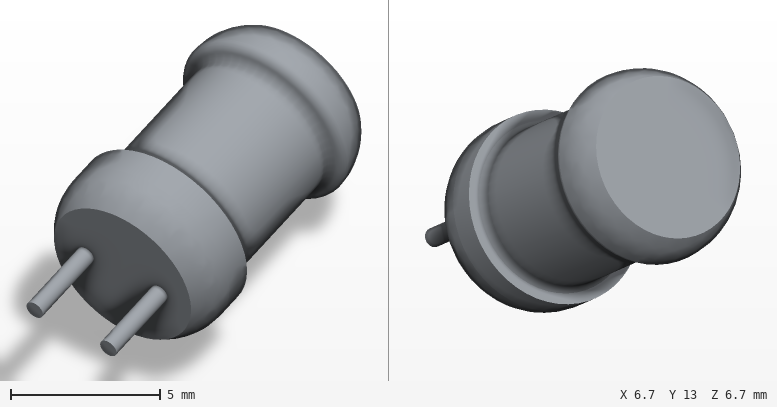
import cadquery as cq
import math

total_length = 13.01
lead_length = 3.0
collar_end = 2.5
base_dome_length = 1.46
rear_dome_length = 1.51
front_flare_length = 0.31
rear_flare_length = 0.35

outer_radius = 6.7 / 2
neck_radius = 2.8

lead_diameter = 0.66
lead_spacing = 3.0

rear_end = total_length - lead_length
rim_y = rear_end - rear_dome_length
shoulder_mid_y = rim_y - rear_flare_length
neck_end = shoulder_mid_y - rear_flare_length
neck_start = collar_end + front_flare_length

radius_step = outer_radius - neck_radius
shoulder_step = radius_step / 2
shoulder_radius = (rear_flare_length**2 + shoulder_step**2) / (2 * shoulder_step)


def arc_drop(arc_radius, distance):
    """Radial change of an axially tangent arc at a distance from its tangent point."""
    return arc_radius - math.sqrt(arc_radius**2 - distance**2)


def dome_middle(length):
    """Radius of a dome halfway along its length."""
    dome_radius = (length**2 + radius_step**2) / (2 * radius_step)
    return outer_radius - arc_drop(dome_radius, length / 2)


def revolve_about_y(profile):
    return profile.close().revolve(360, (0, 0, 0), (0, 1, 0))


def make_base():
    """Domed collar carrying the two leads."""
    base = revolve_about_y(
        cq.Workplane("XY")
        .lineTo(neck_radius, 0)
        .threePointArc(
            (dome_middle(base_dome_length), base_dome_length / 2),
            (outer_radius, base_dome_length),
        )
        .lineTo(outer_radius, collar_end)
        .lineTo(0, collar_end)
    )
    leads = (
        cq.Workplane("XZ")
        .pushPoints([(-lead_spacing / 2, 0), (lead_spacing / 2, 0)])
        .circle(lead_diameter / 2)
        .extrude(lead_length)
    )
    return base.union(leads)


def make_barrel():
    """Neck seated on the collar, with an S-shaped shoulder and a domed rear rim."""
    front_middle_rise = arc_drop(shoulder_radius, front_flare_length / 2)
    flare_end_rise = arc_drop(shoulder_radius, front_flare_length)
    half_rise = arc_drop(shoulder_radius, rear_flare_length / 2)
    return revolve_about_y(
        cq.Workplane("XY")
        .moveTo(0, collar_end)
        .lineTo(neck_radius + flare_end_rise, collar_end)
        .threePointArc(
            (neck_radius + front_middle_rise, collar_end + front_flare_length / 2),
            (neck_radius, neck_start),
        )
        .lineTo(neck_radius, neck_end)
        .threePointArc(
            (neck_radius + half_rise, neck_end + rear_flare_length / 2),
            (neck_radius + shoulder_step, shoulder_mid_y),
        )
        .threePointArc(
            (outer_radius - half_rise, shoulder_mid_y + rear_flare_length / 2),
            (outer_radius, rim_y),
        )
        .threePointArc(
            (dome_middle(rear_dome_length), rim_y + rear_dome_length / 2),
            (neck_radius, rear_end),
        )
        .lineTo(0, rear_end)
    )


base = make_base()
barrel = make_barrel()
result = cq.Compound.makeCompound([base.val(), barrel.val()])